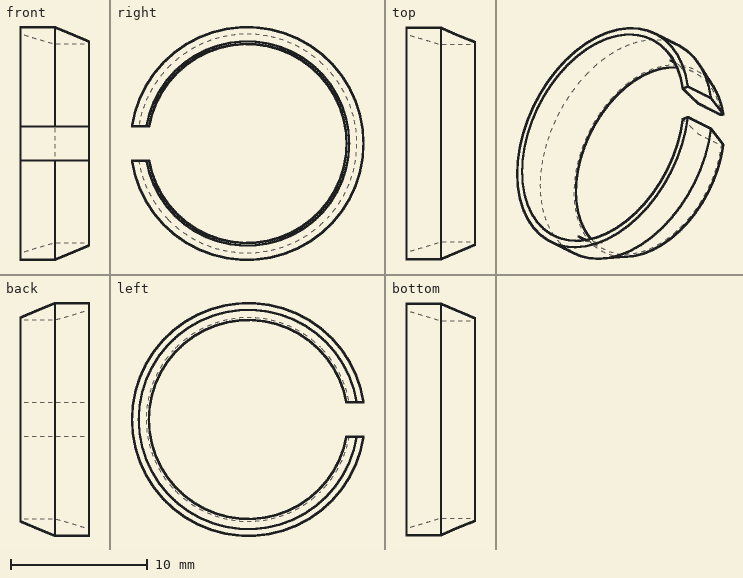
import cadquery as cq

ring_width = 5.0
taper_start = ring_width / 2
outer_radius = 8.5
tip_outer_radius = 7.45
mouth_radius = 8.0
bore_radius = 7.25
gap_width = 2.5


def tapered_ring():
    """Revolve the wall section about the X axis.

    Outside: cylinder, then cone. Inside: conical mouth, then straight bore.
    """
    section = [
        (0, mouth_radius),
        (0, outer_radius),
        (taper_start, outer_radius),
        (ring_width, tip_outer_radius),
        (ring_width, bore_radius),
        (taper_start, bore_radius),
    ]
    return cq.Workplane("XY").polyline(section).close().revolve(360, (0, 0, 0), (1, 0, 0))


def gap_cutter():
    """Block that opens the ring along its full width on the -Y side."""
    block = cq.Workplane("XY").box(
        ring_width, outer_radius, gap_width, centered=(False, False, True)
    )
    return block.translate((0, -outer_radius, 0))


result = tapered_ring().cut(gap_cutter())